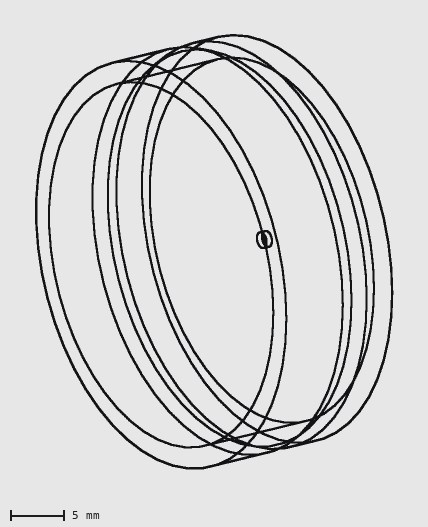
import cadquery as cq

outer_diameter = 38.5
cup_length = 12.3
bore_diameter = 34.5
floor_thickness = 0.6
hole_diameter = 1.5

groove_center_from_back = 4.35
groove_width = 2.77
groove_depth = 0.5

outer_radius = outer_diameter / 2
back_y = cup_length / 2
front_y = -cup_length / 2
groove_y = back_y - groove_center_from_back


def cylinder_along_y(diameter, start_y, end_y):
    """Solid cylinder on the Y axis between two Y positions."""
    return (
        cq.Workplane("XZ", origin=(0, start_y, 0))
        .circle(diameter / 2)
        .extrude(start_y - end_y)
    )


def grooved_body():
    """Revolve the outer half-profile, including the V-groove."""
    return (
        cq.Workplane("XY")
        .moveTo(0, front_y)
        .lineTo(outer_radius, front_y)
        .lineTo(outer_radius, groove_y - groove_width / 2)
        .lineTo(outer_radius - groove_depth, groove_y)
        .lineTo(outer_radius, groove_y + groove_width / 2)
        .lineTo(outer_radius, back_y)
        .lineTo(0, back_y)
        .close()
        .revolve(360, (0, 0, 0), (0, 1, 0))
    )


cavity = cylinder_along_y(bore_diameter, front_y, back_y - floor_thickness)
center_hole = cylinder_along_y(hole_diameter, front_y, back_y)

result = grooved_body().cut(cavity).cut(center_hole)